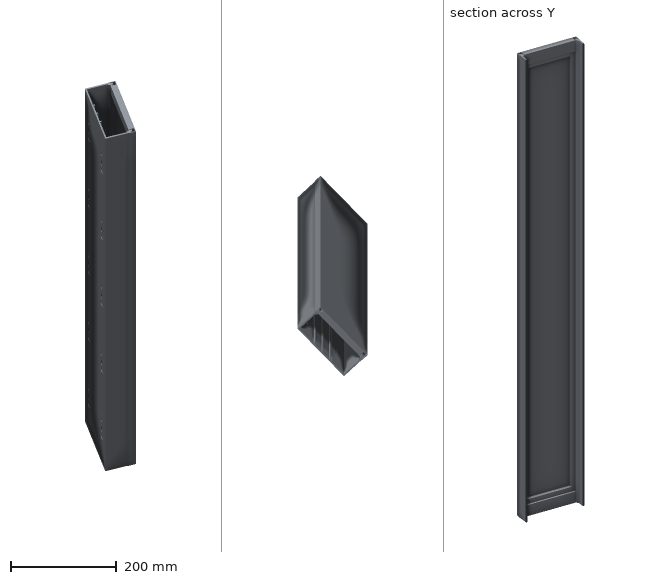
import cadquery as cq

length = 1000.0
width = 130.0
depth = 61.0
back = -depth / 2
lid_face = depth / 2

lid_skin = 1.5
lid_inside = lid_face - lid_skin
skirt_half = width / 2 - lid_skin
leg_inner = 50.0
leg_outer = 56.0
leg_bottom = 22.0

clip_bottom = 18.0
bar_half = 57.0
bar_length = 24.0
pad_length = 34.0

flare = 0.8
body_half = width / 2 - flare
side_wall = 3.0
wall_half = body_half - side_wall
floor_thickness = 3.0
floor = back + floor_thickness

clip_gap = 1.3
shoulder = clip_bottom - clip_gap
flare_height = 2.8
flare_start = shoulder - flare_height
bead_reach = 3.2
bead_half = wall_half - bead_reach
bead_height = 4.6
bead_start = shoulder - bead_height
head_top = 24.0
head_top_half = 62.0

rail_pitch = 21.0
rail_width = 2.5
rail_height = 3.0
groove_width = 4.0
groove_depth = 0.4

hole_line_spacing = 81.0
group_count = 5
group_pitch = 200.0
hole_pitch = 25.0
round_hole = 8.0
slot_width = 6.0
upright_slot = 14.0
cross_slot = 12.0


def box(x_range, y_range, z_range):
    """Axis-aligned box between pairs of coordinates."""
    ranges = (x_range, y_range, z_range)
    sides = [high - low for low, high in ranges]
    corner = tuple(low for low, high in ranges)
    return cq.Workplane("XY").box(*sides, centered=False).translate(corner)


def extrude_run(half_outline):
    """Mirror a +X half outline about the YZ plane and extrude it over the full run."""
    mirrored = [(-x, y) for x, y in reversed(half_outline)]
    plane = cq.Workplane("XY", origin=(0, 0, -length / 2))
    return plane.polyline(half_outline + mirrored).close().extrude(length)


def make_rail(x):
    """Cable rail along the floor, centred at x."""
    return box(
        (x - rail_width / 2, x + rail_width / 2),
        (floor, floor + rail_height),
        (-length / 2, length / 2),
    )


def make_fixing_holes():
    """Round hole, upright slot and crosswise slot, in groups along two lines of the floor."""
    first_z = -(group_count - 1) / 2 * group_pitch
    centers = [
        (side * hole_line_spacing / 2, first_z + i * group_pitch)
        for side in (-1, 1)
        for i in range(group_count)
    ]

    def points(z_shift):
        shifted = [(x, z + z_shift) for x, z in centers]
        return cq.Workplane("XZ", origin=(0, back, 0)).pushPoints(shifted)

    through = -floor_thickness
    round_holes = points(hole_pitch).circle(round_hole / 2).extrude(through)
    upright_slots = points(0).slot2D(upright_slot, slot_width, 90).extrude(through)
    cross_slots = points(-hole_pitch).slot2D(cross_slot, slot_width).extrude(through)
    return round_holes.add(upright_slots).add(cross_slots).combine()


def make_channel():
    """U-shaped channel with flared snap heads, floor rails and fixing holes."""
    groove_inner = rail_pitch + rail_width / 2
    groove_outer = groove_inner + groove_width
    groove_bottom = floor - groove_depth
    channel = extrude_run([
        (body_half, back),
        (body_half, flare_start),
        (width / 2, shoulder),
        (skirt_half, shoulder),
        (head_top_half, head_top),
        (bead_half, head_top),
        (bead_half, shoulder),
        (wall_half, bead_start),
        (wall_half, floor),
        (groove_outer, floor),
        (groove_outer, groove_bottom),
        (groove_inner, groove_bottom),
        (groove_inner, floor),
    ])
    for i in (-1, 0, 1):
        channel = channel.union(make_rail(i * rail_pitch))
    return channel.cut(make_fixing_holes())


def make_lid():
    """Thin lid whose skirts stand on the channel shoulders."""
    return extrude_run([
        (leg_inner, lid_inside),
        (leg_inner, leg_bottom),
        (leg_outer, leg_bottom),
        (leg_outer, lid_inside),
        (skirt_half, lid_inside),
        (skirt_half, shoulder),
        (width / 2, shoulder),
        (width / 2, lid_face),
    ])


def make_clip(end):
    """Clip flush with the +Z end (end = 1) or the -Z end (end = -1) of the run."""
    edge = end * length / 2

    def span(size):
        return sorted((edge, edge - end * size))

    bar = box((-bar_half, bar_half), (clip_bottom, leg_bottom), span(bar_length))
    pad = box((-leg_inner, leg_inner), (leg_bottom, lid_inside), span(pad_length))
    return bar.union(pad).clean()


channel = make_channel()
lid = make_lid()
clips = [make_clip(end) for end in (1, -1)]

result = cq.Compound.makeCompound([channel.val(), lid.val(), *[clip.val() for clip in clips]])